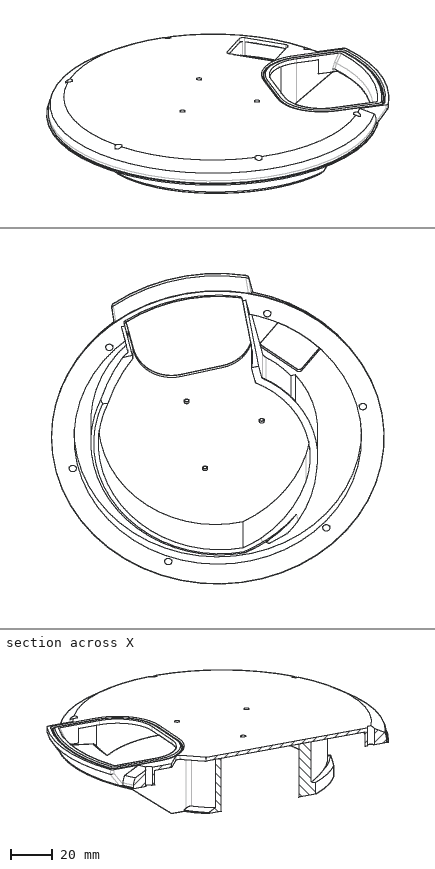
import cadquery as cq
import math

lid_height = 9.5
top_thickness = 2.1
lip_radius = 79.2
lip_height = 0.7
rim_radius = 78.4
rim_round_start = 2.0
bevel_foot_radius = 77.5
bevel_foot_height = 5.5
flat_radius = 71.0
recess_radius = 68.5

tab_half_width = 33.5
tab_top_radius = 83.8
tab_foot_radius = 78.9
tab_band_height = 2.5
tab_corner_round = 1.6

opening_half_width = 28.8
opening_back_y = 32.5
opening_back_round = 18.5
opening_front_round = 1.0
opening_top_radius = 78.4
opening_break_radius = 76.3
opening_break_height = 4.5
opening_throat_radius = 75.5
opening_throat_height = 1.6
groove_inner_offset = 2.0
groove_outer_offset = 3.7
groove_depth = 0.7
groove_flank_angle = 45

rim_hole_diameter = 3.5
rim_hole_angles = (0, 57, 123, 180, 237, 303)
motor_hole_diameter = 2.5
motor_hole_radius = 21.5
motor_hole_count = 3
window_distance = 58.0
window_angle = 140.8
window_radial_size = 19.4
window_tangent_size = 24.6
window_corner_round = 1.8

housing_depth = 19.5
scroll_small_radius = 47.6
scroll_small_end_angle = 211
scroll_large_radius = 59.3
scroll_large_center_y = 4.9
scroll_wall = 3.6
chute_wall = 1.6
chute_slope_foot_y = 43.2
chute_slope_rim_y = 69.1
right_wall_rise_y = 53.8
right_wall_depth = 2.0
floor_ramp_start_x = -9.8
floor_ramp_angle = 4.1
floor_chamfer = 1.39

relief_radius = 45.6
relief_end_y = 20.5
relief_ramp_top = 2.5
relief_ramp_foot = 0.7
relief_corner_round = 3.6

boss_face_height = 6.0
boss_top_height = 7.3
boss_slope_width = 2.5
boss_start = (-44.8, -15.5)
boss_middle = (-36.0, -34.2)
boss_corner = (-22.3, -48.2)
boss_end = (-12.5, -51.8)
boss_foot = (-11.5, -51.0)
boss_root = (-16.3, -47.3)

housing_top = lid_height - top_thickness
chute_half_width = opening_half_width + chute_wall
margin = 16.3


def polar(radius, angle):
    """Point at a distance and an angle in degrees from the Z axis."""
    turn = math.radians(angle)
    return (radius * math.cos(turn), radius * math.sin(turn))


def revolved(profile):
    """Solid of revolution about Z from (radius, height) points."""
    return cq.Workplane("XZ").polyline(profile).close().revolve(360, (0, 0, 0), (0, 1, 0))


def opening_outline(offset):
    """Closed outline of the opening at the top face, grown by an offset."""
    front_corner_y = math.sqrt(opening_top_radius**2 - opening_half_width**2)
    straight = opening_half_width - opening_back_round
    side_start_y = opening_back_y + opening_back_round
    outline = (
        cq.Workplane("XY", origin=(0, 0, lid_height))
        .moveTo(-straight, opening_back_y)
        .lineTo(straight, opening_back_y)
        .tangentArcPoint((opening_half_width, side_start_y), relative=False)
        .lineTo(opening_half_width, front_corner_y)
        .threePointArc((0, opening_top_radius), (-opening_half_width, front_corner_y))
        .lineTo(-opening_half_width, side_start_y)
        .tangentArcPoint((-straight, opening_back_y), relative=False)
        .close()
    )
    return outline.offset2D(offset)


def opening_prism(bottom, top):
    """Straight-sided column of the opening, unlimited toward the front."""
    length_y = tab_top_radius + margin - opening_back_y
    return (
        cq.Workplane("XY", origin=(0, opening_back_y + length_y / 2, bottom))
        .rect(2 * opening_half_width, length_y)
        .extrude(top - bottom)
        .edges("|Z and <Y")
        .fillet(opening_back_round)
    )


def front_corner_edges(half_width, wall):
    """Selector for the two front corners of a shape whose front wall has (radius, height) points."""
    selector = None
    for (low_radius, low_height), (high_radius, high_height) in zip(wall, wall[1:]):
        middle_radius = (low_radius + high_radius) / 2
        middle_height = (low_height + high_height) / 2
        y = math.sqrt(middle_radius**2 - half_width**2)
        for x in (-half_width, half_width):
            corner = cq.selectors.NearestToPointSelector((x, y, middle_height))
            selector = selector + corner if selector else corner
    return selector


def opening_cutter():
    """Opening through the lid, its front wall leaning inward to a throat and flaring below it."""
    wall = [
        (opening_throat_radius + opening_throat_height, 0),
        (opening_throat_radius, opening_throat_height),
        (opening_break_radius, opening_break_height),
        (opening_top_radius, lid_height),
    ]
    bounds = revolved([(0, 0), *wall, (0, lid_height)])
    cutter = opening_prism(0, lid_height).intersect(bounds)
    return cutter.edges(front_corner_edges(opening_half_width, wall)).fillet(opening_front_round)


def disc():
    """Bevelled disc with a rounded rim and a thin lip at its foot."""
    profile = (
        cq.Workplane("XZ")
        .moveTo(0, 0)
        .lineTo(lip_radius, 0)
        .lineTo(lip_radius, lip_height)
        .lineTo(rim_radius, lip_height)
        .lineTo(rim_radius, rim_round_start)
        .tangentArcPoint((bevel_foot_radius, bevel_foot_height), relative=False)
        .lineTo(flat_radius, lid_height)
        .lineTo(0, lid_height)
        .close()
    )
    return profile.revolve(360, (0, 0, 0), (0, 1, 0))


def tab():
    """Tab with flat sides and a front that tapers inward below an upright band."""
    wall = [
        (tab_foot_radius, 0),
        (tab_top_radius, lid_height - tab_band_height),
        (tab_top_radius, lid_height),
    ]
    bounds = revolved([(0, 0), *wall, (0, lid_height)])
    length_y = tab_top_radius + margin - opening_back_y
    column = (
        cq.Workplane("XY", origin=(0, opening_back_y + length_y / 2, 0))
        .rect(2 * tab_half_width, length_y)
        .extrude(lid_height)
    )
    body = column.intersect(bounds)
    return body.edges(front_corner_edges(tab_half_width, wall)).fillet(tab_corner_round)


def underside_recess():
    """Round recess that leaves the rim and the thin top plate, and a collar in front of the opening."""
    return cq.Workplane("XY").circle(recess_radius).extrude(housing_top)


def seal_groove():
    """Groove with sloping flanks in the top face, running round the opening."""
    outer = opening_outline(groove_outer_offset).extrude(-groove_depth, taper=groove_flank_angle)
    inner = opening_outline(groove_inner_offset).extrude(-groove_depth, taper=-groove_flank_angle)
    return outer.cut(inner)


def lid_holes():
    """Rim screw holes, motor screw holes and the rectangular window."""
    rim_holes = (
        cq.Workplane("XY")
        .pushPoints([polar(flat_radius, angle) for angle in rim_hole_angles])
        .circle(rim_hole_diameter / 2)
        .extrude(lid_height)
    )
    motor_holes = (
        cq.Workplane("XY")
        .polarArray(motor_hole_radius, 180, 360, motor_hole_count)
        .circle(motor_hole_diameter / 2)
        .extrude(lid_height)
    )
    window = (
        cq.Workplane("XY")
        .center(window_distance, 0)
        .rect(window_radial_size, window_tangent_size)
        .extrude(lid_height)
        .edges("|Z")
        .fillet(window_corner_round)
        .rotate((0, 0, 0), (0, 0, 1), window_angle)
    )
    return rim_holes.union(motor_holes).union(window)


def make_lid():
    lid = disc().cut(underside_recess()).union(tab().cut(underside_recess()))
    return lid.cut(opening_cutter()).cut(seal_groove()).cut(lid_holes())


def scroll_outline(inset):
    """Closed outline of the scroll and its chute, moved inward by an inset."""
    small = scroll_small_radius - inset
    large = scroll_large_radius - inset
    side = chute_half_width - inset
    left_join = (-side, math.sqrt(small**2 - side**2))
    right_join = (side, scroll_large_center_y + math.sqrt(large**2 - side**2))
    lowest = (0, scroll_large_center_y - large)
    return (
        cq.Workplane("XY", origin=(0, 0, housing_top))
        .moveTo(-side, lip_radius)
        .lineTo(*left_join)
        .threePointArc((-small, 0), polar(small, scroll_small_end_angle))
        .tangentArcPoint(lowest, relative=False)
        .threePointArc((large, scroll_large_center_y), right_join)
        .lineTo(side, lip_radius)
        .close()
    )


def below_ramp(rise):
    """Everything under the floor ramp, with the ramp lifted by a rise."""
    reach = 2 * lip_radius
    return (
        cq.Workplane("XY", origin=(0, 0, -reach / 2))
        .box(2 * reach, 2 * reach, reach)
        .rotate((0, 0, 0), (0, 1, 0), -floor_ramp_angle)
        .translate((floor_ramp_start_x, 0, rise - housing_depth))
    )


def ramped_column():
    """Solid scroll and chute whose lower end rises toward +X, with a chamfered edge."""
    tall = housing_top + housing_depth + margin
    column = scroll_outline(0).extrude(-tall)
    return column.cut(below_ramp(0)).faces("<Z").chamfer(floor_chamfer)


def boss():
    """Low bulge on the scroll wall with a sloping top."""
    bulge = (
        cq.Workplane("XY", origin=(0, 0, -housing_depth))
        .moveTo(*boss_start)
        .threePointArc(boss_middle, boss_corner)
        .lineTo(*boss_end)
        .lineTo(*boss_foot)
        .lineTo(*boss_root)
        .close()
        .extrude(boss_top_height)
    )
    outer_edge = cq.selectors.NearestToPointSelector((*boss_middle, boss_top_height - housing_depth))
    slope_height = boss_top_height - boss_face_height
    sloped = bulge.edges(outer_edge).chamfer(slope_height, boss_slope_width)
    return sloped.cut(below_ramp(floor_chamfer))


def below_chute():
    """Everything under the sloping end of the chute."""
    slope = (chute_slope_rim_y - chute_slope_foot_y) / housing_depth
    top_y = chute_slope_rim_y + slope * housing_top
    return (
        cq.Workplane("YZ", origin=(-lip_radius, 0, 0))
        .polyline([
            (chute_slope_foot_y, -housing_depth),
            (top_y, housing_top),
            (top_y + margin, housing_top),
            (top_y + margin, -housing_depth),
        ])
        .close()
        .extrude(2 * lip_radius)
    )


def below_right_wall():
    """Everything under the raised end of the scroll wall on the +X side of the chute."""
    return (
        cq.Workplane("YZ")
        .polyline([
            (right_wall_rise_y - housing_depth, -housing_depth),
            (right_wall_rise_y, -right_wall_depth),
            (chute_slope_rim_y, 0),
            (lip_radius, 0),
            (lip_radius, -housing_depth),
        ])
        .close()
        .extrude(lip_radius)
    )


def window_relief():
    """Cut in the scroll wall beside the chute, ending below in a ramp."""
    outside = relief_radius + margin
    foot = -housing_depth + relief_ramp_foot
    ring = revolved([
        (relief_radius, housing_top),
        (relief_radius, -housing_depth + relief_ramp_top),
        (scroll_small_radius, foot),
        (outside, foot),
        (outside, housing_top),
    ])
    corner = (
        cq.Workplane("XY", origin=(-chute_half_width, relief_end_y, -housing_depth))
        .rect(-outside, outside, centered=False)
        .extrude(housing_depth + housing_top)
    )
    cutter = ring.intersect(corner)
    corner_y = math.sqrt(relief_radius**2 - chute_half_width**2)
    corner_edge = cq.selectors.NearestToPointSelector((-chute_half_width, corner_y, -housing_depth / 4))
    return cutter.edges(corner_edge).fillet(relief_corner_round)


def make_housing(lid):
    housing = ramped_column()
    limit = cq.Workplane("XY", origin=(0, 0, -housing_depth)).circle(lip_radius)
    housing = housing.intersect(limit.extrude(housing_depth + housing_top))
    housing = housing.union(boss()).cut(window_relief()).cut(below_chute())
    housing = housing.cut(below_right_wall())
    through = housing_depth + housing_top
    housing = housing.cut(scroll_outline(scroll_wall).extrude(-through))
    housing = housing.cut(opening_prism(-housing_depth, housing_top))
    return housing.cut(lid)


lid = make_lid()
housing = make_housing(lid)
result = cq.Compound.makeCompound([*lid.vals(), *housing.vals()])